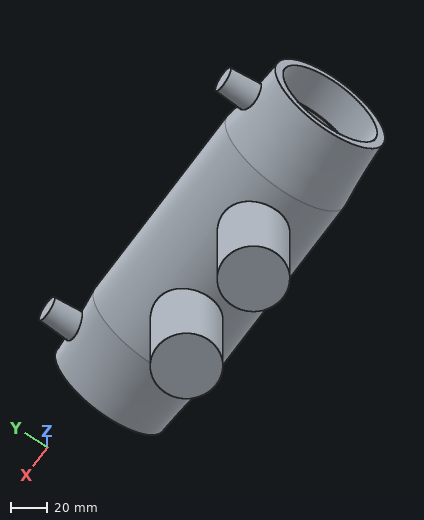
import cadquery as cq

sleeve_length = 213.0
sleeve_diameter = 82.0
straight_length = 127.8
end_diameter = 73.7
flare_mid_diameter = 76.7
socket_diameter = 63.0
stop_diameter = 59.9
stop_depth = 21.5

branch_diameter = 40.0
branch_spacing = 64.8
overall_height = 137.0

terminal_spacing = 170.5
overall_width = 98.0
terminal_root_y = 34.7
terminal_tip_diameter = 15.3
terminal_root_diameter = 18.3

half_length = sleeve_length / 2
half_straight = straight_length / 2
sleeve_radius = sleeve_diameter / 2
end_radius = end_diameter / 2
flare_mid_x = (half_length + half_straight) / 2
flare_mid_radius = flare_mid_diameter / 2
branch_reach = overall_height - sleeve_radius
terminal_reach = overall_width - sleeve_radius


def sleeve_body():
    """Solid of revolution with a concave arc narrowing each end."""
    return (
        cq.Workplane("XY")
        .moveTo(-half_length, 0)
        .lineTo(-half_length, end_radius)
        .threePointArc((-flare_mid_x, flare_mid_radius), (-half_straight, sleeve_radius))
        .lineTo(half_straight, sleeve_radius)
        .threePointArc((flare_mid_x, flare_mid_radius), (half_length, end_radius))
        .lineTo(half_length, 0)
        .close()
        .revolve(360, (0, 0, 0), (1, 0, 0))
    )


def branch(x):
    """Vertical round pipe from the sleeve axis downwards."""
    return cq.Workplane("XY").center(x, 0).circle(branch_diameter / 2).extrude(-branch_reach)


def terminal(x):
    """Cone that narrows outwards along +Y."""
    return cq.Workplane(
        cq.Solid.makeCone(
            terminal_root_diameter / 2,
            terminal_tip_diameter / 2,
            terminal_reach - terminal_root_y,
            cq.Vector(x, terminal_root_y, 0),
            cq.Vector(0, 1, 0),
        )
    )


def bore(diameter, start_x, length):
    """Cylinder along X, used to hollow the sleeve."""
    return cq.Workplane("YZ", origin=(start_x, 0, 0)).circle(diameter / 2).extrude(length)


result = sleeve_body()
for side in (-1, 1):
    result = result.union(branch(side * branch_spacing / 2))
    result = result.union(terminal(side * terminal_spacing / 2))

result = result.cut(bore(stop_diameter, -half_length, sleeve_length))
for side in (-1, 1):
    result = result.cut(bore(socket_diameter, side * half_length, -side * stop_depth))